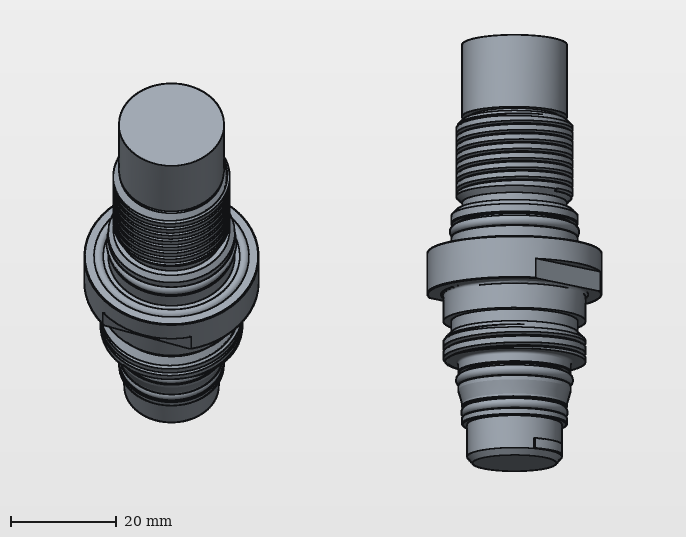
import cadquery as cq
import math

total_height = 80.8

tail_diameter = 18.0
tail_chamfer = 1.05
tail_chamfer_height = 1.2
key_diameter = 19.2
key_angle = 45.0
key_height = 1.9

lower_land_diameter = 20.0
lower_land_bottom_z = 7.4
taper_bottom_z = 11.5
taper_top_z = 14.1
upper_land_diameter = 21.4

large_thread_diameter = 27.0
large_thread_depth = 0.7
large_thread_bottom_z = 19.55
large_thread_top_z = 25.1
large_thread_pitch = 2.0
large_thread_start_angle = 245.6
large_thread_start_z = 19.4
large_thread_turns = 2.6

shank_diameter = 24.0
skirt_bottom_z = 27.4
flange_diameter = 33.1
flange_bottom_z = 32.6
flange_top_z = 40.65
flat_height = 3.8
flat_spacing = 28.0

collar_top_z = 48.7
collar_chamfer = 1.0
neck_diameter = 19.9
small_thread_diameter = 22.15
small_thread_depth = 0.65
small_thread_bottom_z = 50.35
small_thread_top_z = 66.2
small_thread_top_chamfer = 1.2
small_thread_start_angle = 90.0
small_thread_start_z = 51.2
small_thread_end_z = 65.7
small_thread_turns = 8
small_thread_pitch = (small_thread_end_z - small_thread_start_z) / small_thread_turns
cap_neck_diameter = 16.8
cap_diameter = 20.0
cap_bottom_z = 66.9

thread_angle = 60.0
groove_overlap = 0.25

edge_chamfer = 0.2
corner_radius = 0.5

ring_section = 1.9

groove_width = 2.4
collar_groove_diameter = 21.6
collar_groove_bottom_z = 43.7
collar_seal_diameter = 24.6
nose_groove_diameter = 19.0
nose_groove_bottom_z = 15.0
nose_seal_diameter = 22.2

tail_groove_diameter = 17.8
tail_groove_width = 2.0
tail_groove_bottom_z = 8.8
tail_bead_diameter = 20.2
flange_bead_diameter = 29.6
flange_bead_rise = 0.6


def turned(points):
    """Solid of revolution about Z from (radius, z) points."""
    return cq.Workplane("XZ").polyline(points).close().revolve(360, (0, 0), (0, 1))


def round_ring(outer_diameter, bottom_z):
    """Ring of round section, centred on the Z axis and resting on height bottom_z."""
    section_radius = ring_section / 2
    center_radius = outer_diameter / 2 - section_radius
    return (
        cq.Workplane("XZ")
        .center(center_radius, bottom_z + section_radius)
        .circle(section_radius)
        .revolve(360, (-center_radius, 0), (-center_radius, 1))
    )


def seal_groove(floor_diameter, land_diameter, bottom_z, width):
    """Cutter for a seal groove with chamfered mouth edges."""
    floor = floor_diameter / 2
    land = land_diameter / 2
    top_z = bottom_z + width
    return turned([
        (floor, bottom_z),
        (land - edge_chamfer, bottom_z),
        (land, bottom_z - edge_chamfer),
        (land + edge_chamfer, bottom_z - edge_chamfer),
        (land + edge_chamfer, top_z + edge_chamfer),
        (land, top_z + edge_chamfer),
        (land - edge_chamfer, top_z),
        (floor, top_z),
    ])


def groove_turn(diameter, depth, pitch, turns):
    """Cutter for one turn, or part of a turn, of a right-handed V groove that starts on +X at z = 0."""
    outer = diameter / 2
    root = outer - depth
    mouth = outer + groove_overlap
    half_width = (mouth - root) * math.tan(math.radians(thread_angle / 2))
    path = cq.Wire.makeHelix(pitch, pitch * turns, outer)
    return (
        cq.Workplane("XZ")
        .polyline([(root, 0), (mouth, half_width), (mouth, -half_width)])
        .close()
        .sweep(path, isFrenet=True)
    )


def cut_thread(body, diameter, depth, pitch, turns, start_z, start_angle):
    """Cut a helical V groove that climbs from start_z at start_angle, one turn at a time."""
    for turn in range(math.ceil(turns)):
        groove = groove_turn(diameter, depth, pitch, min(1, turns - turn))
        groove = groove.rotate((0, 0, 0), (0, 0, 1), start_angle)
        body = body.cut(groove.translate((0, 0, start_z + turn * pitch)))
    return body


def nose_and_tail():
    """Turned lower end, from the tail up to the underside of the large thread."""
    tail = tail_diameter / 2
    lower_land = lower_land_diameter / 2
    upper_land = upper_land_diameter / 2
    return turned([
        (0, 0),
        (tail - tail_chamfer, 0),
        (tail, tail_chamfer_height),
        (tail, lower_land_bottom_z),
        (lower_land - edge_chamfer, lower_land_bottom_z),
        (lower_land, lower_land_bottom_z + edge_chamfer),
        (lower_land, taper_bottom_z),
        (upper_land, taper_top_z),
        (upper_land, large_thread_bottom_z),
        (0, large_thread_bottom_z),
    ])


def middle_body():
    """Turned middle, from the large thread up to the collar."""
    thread = large_thread_diameter / 2
    shank = shank_diameter / 2
    flange = flange_diameter / 2
    return turned([
        (0, large_thread_bottom_z),
        (thread, large_thread_bottom_z),
        (thread, large_thread_top_z - (thread - shank)),
        (shank, large_thread_top_z),
        (shank, skirt_bottom_z),
        (thread, skirt_bottom_z),
        (thread, flange_bottom_z),
        (flange - edge_chamfer, flange_bottom_z),
        (flange, flange_bottom_z + edge_chamfer),
        (flange, flange_top_z - edge_chamfer),
        (flange - edge_chamfer, flange_top_z),
        (shank, flange_top_z),
        (shank, collar_top_z - collar_chamfer),
        (shank - collar_chamfer, collar_top_z),
        (0, collar_top_z),
    ])


def threaded_top():
    """Turned upper end: neck, small thread and end cap."""
    neck = neck_diameter / 2
    thread = small_thread_diameter / 2
    cap_neck = cap_neck_diameter / 2
    cap = cap_diameter / 2
    return turned([
        (0, collar_top_z),
        (neck, collar_top_z),
        (neck, small_thread_bottom_z),
        (thread, small_thread_bottom_z + (thread - neck)),
        (thread, small_thread_top_z - small_thread_top_chamfer),
        (thread - small_thread_top_chamfer, small_thread_top_z),
        (cap_neck, small_thread_top_z),
        (cap_neck, cap_bottom_z),
        (cap, cap_bottom_z),
        (cap, total_height),
        (0, total_height),
    ])


def corner_fillet(diameter, z):
    """Concave fillet between a cylinder and the downward face above it at height z."""
    radius = diameter / 2
    return (
        cq.Workplane("XZ")
        .moveTo(radius - corner_radius, z)
        .lineTo(radius + corner_radius, z)
        .radiusArc((radius, z - corner_radius), -corner_radius)
        .lineTo(radius - corner_radius, z - corner_radius)
        .close()
        .revolve(360, (0, 0), (0, 1))
    )


def flange_flat(side):
    """Cutter for the flat on one side (+1 or -1 along Y) of the flange's lower part."""
    depth = flange_diameter / 2
    return (
        cq.Workplane("XY", origin=(0, side * (flat_spacing / 2 + depth / 2), flange_bottom_z))
        .rect(flange_diameter, depth)
        .extrude(flat_height)
    )


def tail_key():
    """Sector-shaped key on the +Y side of the tail."""
    radius = key_diameter / 2
    half_angle = math.radians(key_angle / 2)
    corner_x = radius * math.sin(half_angle)
    corner_y = radius * math.cos(half_angle)
    return (
        cq.Workplane("XY", origin=(0, 0, tail_chamfer_height))
        .lineTo(corner_x, corner_y)
        .threePointArc((0, radius), (-corner_x, corner_y))
        .close()
        .extrude(key_height)
    )


def make_housing():
    """Main body with its threads, seal grooves, flats, beads and key."""
    housing = nose_and_tail().union(middle_body()).union(threaded_top())
    housing = housing.union(corner_fillet(upper_land_diameter, large_thread_bottom_z))
    housing = housing.union(corner_fillet(large_thread_diameter, flange_bottom_z))
    for side in (1, -1):
        housing = housing.cut(flange_flat(side))
    housing = housing.cut(
        seal_groove(collar_groove_diameter, shank_diameter, collar_groove_bottom_z, groove_width)
    )
    housing = housing.cut(
        seal_groove(nose_groove_diameter, upper_land_diameter, nose_groove_bottom_z, groove_width)
    )
    housing = housing.cut(
        seal_groove(tail_groove_diameter, lower_land_diameter, tail_groove_bottom_z, tail_groove_width)
    )
    housing = housing.union(round_ring(tail_bead_diameter, tail_groove_bottom_z))
    flange_bead_bottom_z = flange_top_z + flange_bead_rise - ring_section
    housing = housing.union(round_ring(flange_bead_diameter, flange_bead_bottom_z))
    housing = housing.union(tail_key())
    housing = cut_thread(
        housing, large_thread_diameter, large_thread_depth, large_thread_pitch, large_thread_turns,
        large_thread_start_z, large_thread_start_angle,
    )
    return cut_thread(
        housing, small_thread_diameter, small_thread_depth, small_thread_pitch, small_thread_turns,
        small_thread_start_z, small_thread_start_angle,
    )


def make_seal(seal_diameter, groove_diameter, groove_bottom_z):
    """Seal resting on the lower wall of its groove, its inner side flattened by the groove floor."""
    groove_core = (
        cq.Workplane("XY", origin=(0, 0, groove_bottom_z))
        .circle(groove_diameter / 2)
        .extrude(groove_width)
    )
    return round_ring(seal_diameter, groove_bottom_z).cut(groove_core)


housing = make_housing()
seals = [
    make_seal(seal_diameter, groove_diameter, groove_bottom_z)
    for seal_diameter, groove_diameter, groove_bottom_z in (
        (collar_seal_diameter, collar_groove_diameter, collar_groove_bottom_z),
        (nose_seal_diameter, nose_groove_diameter, nose_groove_bottom_z),
    )
]
result = cq.Compound.makeCompound([housing.val(), *[seal.val() for seal in seals]])